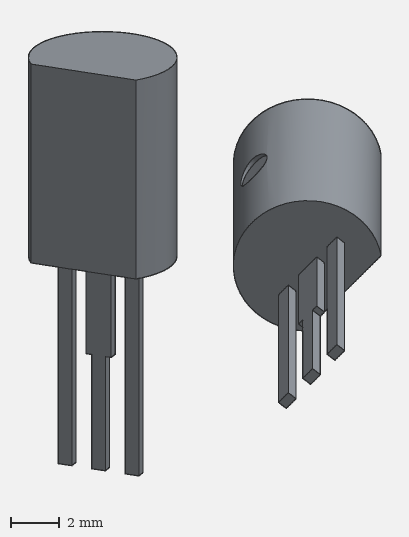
import cadquery as cq

body_diameter = 6.1
body_radius = body_diameter / 2
body_depth = 5.0
overall_height = 17.9
body_height = 8.7
flat_y = body_radius - body_depth

lead_count = 3
lead_length = overall_height - body_height
lead_width = 0.6
lead_thickness = 0.43
lead_pitch = 1.5
shoulder_width = 1.13
shoulder_length = 4.2

dimple_radius = 0.8
dimple_depth = 0.2
dimple_below_top = 4.12


def make_body():
    """Upright cylinder trimmed to a flat face on the -Y side."""
    bar = cq.Workplane("XY").circle(body_radius).extrude(body_height)
    kept_side = (
        cq.Workplane("XY", origin=(0, flat_y, 0))
        .box(body_diameter, body_depth, body_height, centered=(True, False, False))
    )
    return bar.intersect(kept_side)


def make_dimple_cutter():
    """Disc reaching from the dimple's flat floor out to the rearmost line of the body."""
    floor_y = body_radius - dimple_depth
    return (
        cq.Workplane("XZ", origin=(0, floor_y, body_height - dimple_below_top))
        .circle(dimple_radius)
        .extrude(-dimple_depth)
    )


def make_strip(width, length, x):
    """Flat strip hanging from the underside, its back face in the plane of the body axis."""
    return (
        cq.Workplane("XY", origin=(x, -lead_thickness, -length))
        .box(width, lead_thickness, length, centered=(True, False, False))
    )


result = make_body().cut(make_dimple_cutter())

for index in range(lead_count):
    lead_x = (index - (lead_count - 1) / 2) * lead_pitch
    result = result.union(make_strip(lead_width, lead_length, lead_x))

result = result.union(make_strip(shoulder_width, shoulder_length, 0))